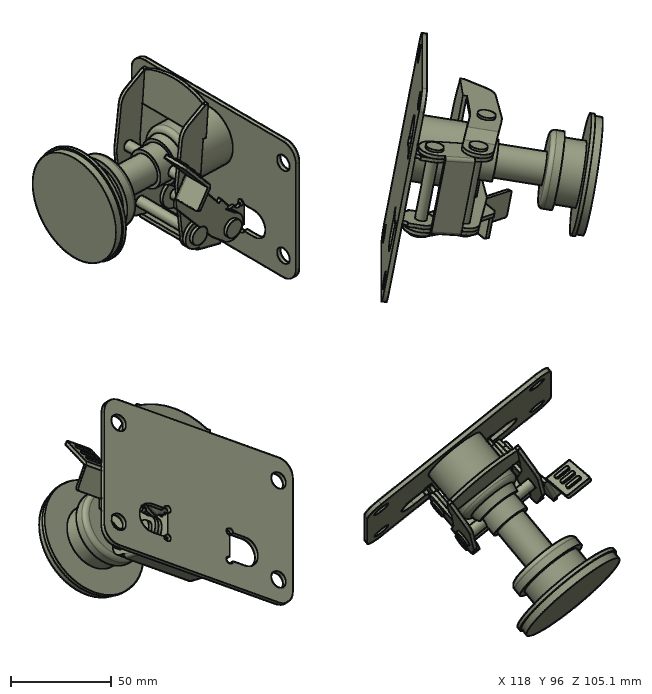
import cadquery as cq
import math


sheet = 2.0

plate_width = 118.0
plate_height = 82.0
plate_thickness = 2.5
plate_corner_radius = 9.0
plate_center_x = 3.0
plate_center_z = -19.0
mount_hole_diameter = 9.0
mount_hole_pitch_x = 100.0
mount_hole_pitch_z = 56.0

handle_pivot = (38.2, 0.0)
link_pivot = (34.6, -33.0)
base_pivot = (12.8, -38.0)

lug_radius = 8.0
lug_outer_spacing = 39.0
slot_length = 74.0
relief_radius = 2.0
lug_relief_forward = 4.4

link_radius = 8.0
link_web_start = 3.7
link_web_end = 19.1

handle_radius = 8.0
handle_left_jog = 2.7
jog_top_z = -16.0
jog_bottom_z = -26.0
handle_web_top = (24.6, 45.15)
handle_web_bottom = (26.4, 20.6)
handle_side_top_z = 40.4
handle_back_corner_forward = 28.5
handle_front_corner = (42.5, 31.3)
handle_corner_radius = 10.0

pin_radius = 3.0
round_head_radius = 4.6
round_head_height = 1.3
flat_head_radius = 5.15
flat_head_height = 2.0

housing_radius = 16.8
housing_end = 32.2
housing_fillet = 3.0
cone_base_radius = 13.4
cone_tip_radius = 12.5
cone_end = 37.3
collar_radius = 10.7
collar_end = 46.7
rod_radius = 8.6
rod_end = 71.5
bead_radius = 20.0
bead_fillet = 2.6
bead_end = 78.5
neck_radius = 17.0
flange_radius = 31.0
flange_start = 90.0
flange_end = 92.0
pad_radius = 30.0
foot_end = 96.0

lever_radius = 8.0
head_clearance = 0.1
pedal_width = 15.0
pedal_length = 25.0
pedal_angle = math.radians(49)
pedal_tip = (58.5, 28.0)
flange_angle = math.radians(57)
flange_length = 13.3
bend_radius = 1.8
pedal_corner_radius = 1.5
rib_length = 8.5
rib_width = 3.0
rib_height = 1.0
rib_corner_radius = 1.0
rib_first = 5.5
rib_pitch = 6.8
rib_count = 3

lug_left = plate_center_x - lug_outer_spacing / 2
lug_right = plate_center_x + lug_outer_spacing / 2
link_left = lug_left - sheet
link_right = lug_right + sheet
handle_low_left = link_left - sheet
handle_left = handle_low_left - handle_left_jog
handle_right = lug_right
lever_right = link_right + sheet


def yz(point):
    """Turn (forward, z) into coordinates of the YZ workplane."""
    return (-point[0], point[1])


def from_pivot(pivot, forward, up):
    return (pivot[0] + forward, pivot[1] + up)


def side_plane(x):
    return cq.Workplane("YZ", origin=(x, 0, 0))


def front_plane(forward):
    """XZ workplane whose extrusions run forward."""
    return cq.Workplane("XZ", origin=(0, -forward, 0))


def side_prism(points, x_start, x_end):
    outline = [yz(point) for point in points]
    return side_plane(x_start).polyline(outline).close().extrude(x_end - x_start)


def side_disc(center, radius, x_start, x_end):
    return side_plane(x_start).center(*yz(center)).circle(radius).extrude(x_end - x_start)


def pin_hole(center):
    return side_disc(center, pin_radius, handle_left, lever_right)


def turned(profile):
    """Revolve (radius, forward) points about the plunger axis."""
    outline = [(radius, -forward) for radius, forward in profile]
    return cq.Workplane("XY").polyline(outline).close().revolve(360, (0, 0, 0), (0, 1, 0))


def make_lug(x_start):
    x_end = x_start + sheet
    root_length = base_pivot[0]
    root = side_prism(
        [
            (0, base_pivot[1] - lug_radius),
            (root_length, base_pivot[1] - lug_radius),
            (root_length, base_pivot[1] + lug_radius),
            (0, base_pivot[1] + lug_radius),
        ],
        x_start,
        x_end,
    )
    lug = root.union(side_disc(base_pivot, lug_radius, x_start, x_end))
    for edge in (-lug_radius, lug_radius):
        notch_center = (lug_relief_forward, base_pivot[1] + edge)
        lug = lug.cut(side_disc(notch_center, relief_radius, x_start, x_end))
    return lug


def make_plate():
    plate = (
        front_plane(0)
        .center(plate_center_x, plate_center_z)
        .rect(plate_width, plate_height)
        .extrude(plate_thickness)
        .edges("|Y")
        .fillet(plate_corner_radius)
    )
    mount_holes = (
        front_plane(0)
        .center(plate_center_x, plate_center_z)
        .rect(mount_hole_pitch_x, mount_hole_pitch_z, forConstruction=True)
        .vertices()
        .circle(mount_hole_diameter / 2)
        .extrude(plate_thickness)
    )
    slot = (
        front_plane(0)
        .center(plate_center_x, base_pivot[1])
        .slot2D(slot_length, 2 * lug_radius)
        .extrude(plate_thickness)
    )
    bridge = (
        front_plane(0)
        .center(plate_center_x, base_pivot[1])
        .rect(lug_outer_spacing, 2 * lug_radius)
        .extrude(plate_thickness)
    )
    reliefs = (
        front_plane(0)
        .center(plate_center_x, base_pivot[1])
        .rect(lug_outer_spacing, 2 * lug_radius, forConstruction=True)
        .vertices()
        .circle(relief_radius)
        .extrude(plate_thickness)
    )
    plate = plate.cut(mount_holes).cut(slot.cut(bridge))
    for x_start in (lug_left, lug_right - sheet):
        plate = plate.union(make_lug(x_start))
    return plate.cut(reliefs).cut(pin_hole(base_pivot)).clean()


def make_housing():
    return (
        front_plane(plate_thickness)
        .circle(housing_radius)
        .extrude(housing_end - plate_thickness)
        .faces("<Y")
        .edges()
        .fillet(housing_fillet)
    )


def make_plunger():
    plunger = turned(
        [
            (0, housing_end),
            (cone_base_radius, housing_end),
            (cone_tip_radius, cone_end),
            (collar_radius, cone_end),
            (collar_radius, collar_end),
            (rod_radius, collar_end),
            (rod_radius, rod_end),
            (0, rod_end),
        ]
    )
    return plunger.cut(pin_hole(handle_pivot))


def make_foot():
    bead = (
        front_plane(rod_end)
        .circle(bead_radius)
        .extrude(bead_end - rod_end)
        .faces(">Y")
        .edges()
        .fillet(bead_fillet)
    )
    base = turned(
        [
            (0, bead_end),
            (neck_radius, bead_end),
            (neck_radius, flange_start),
            (flange_radius, flange_start),
            (flange_radius, flange_end),
            (pad_radius, flange_end),
            (pad_radius, foot_end),
            (0, foot_end),
        ]
    )
    return bead.union(base)


def make_link():
    rise = link_pivot[1] - base_pivot[1]
    reach = link_pivot[0] - base_pivot[0]
    length = math.hypot(reach, rise)
    tilt = math.degrees(math.atan2(rise, reach))
    width = link_right - link_left

    sides = (
        side_plane(link_left)
        .center(-length / 2, 0)
        .slot2D(length + 2 * link_radius, 2 * link_radius)
        .extrude(width)
    )
    inside = sides.intersect(
        cq.Workplane("XY").box(lug_outer_spacing, 200, 200).translate((plate_center_x, 0, 0))
    )
    web_bottom = -link_radius - sheet
    web = (
        side_plane(link_left)
        .moveTo(-link_web_start, -link_radius)
        .lineTo(-link_web_end, -link_radius)
        .lineTo(-link_web_end, web_bottom)
        .lineTo(-link_web_start, web_bottom)
        .close()
        .extrude(width)
        .edges("|Y and <Z")
        .fillet(0.9 * sheet)
    )
    link = (
        sides.cut(inside)
        .union(web)
        .rotate((0, 0, 0), (1, 0, 0), -tilt)
        .translate((0, -base_pivot[0], base_pivot[1]))
    )
    return link.cut(pin_hole(base_pivot)).cut(pin_hole(link_pivot))


def handle_side_profile(x_start, x_end):
    lean = math.atan2(handle_pivot[0] - link_pivot[0], handle_pivot[1] - link_pivot[1])
    across = handle_radius * math.cos(lean)
    drop = handle_radius * math.sin(lean)
    low_front = from_pivot(link_pivot, across, -drop)
    low_back = from_pivot(link_pivot, -across, drop)
    low_end = from_pivot(link_pivot, -drop, -across)
    elbow_front = from_pivot(handle_pivot, across, -drop)
    elbow_middle = from_pivot(handle_pivot, handle_radius, 0)
    elbow_end = from_pivot(handle_pivot, across, drop)
    elbow_back = from_pivot(handle_pivot, -handle_radius, 0)
    web_lean = (handle_web_bottom[0] - handle_web_top[0]) / (handle_web_top[1] - handle_web_bottom[1])
    side_top_back = handle_web_top[0] + web_lean * (handle_web_top[1] - handle_side_top_z)

    outline = (
        side_plane(x_start)
        .moveTo(*yz(low_front))
        .lineTo(*yz(elbow_front))
        .threePointArc(yz(elbow_middle), yz(elbow_end))
        .lineTo(*yz(handle_front_corner))
        .lineTo(*yz((side_top_back + sheet, handle_side_top_z)))
        .lineTo(*yz((side_top_back, handle_side_top_z)))
        .lineTo(*yz(handle_web_bottom))
        .lineTo(*yz((handle_back_corner_forward, handle_web_bottom[1])))
        .lineTo(*yz(elbow_back))
        .lineTo(*yz(low_back))
        .threePointArc(yz(low_end), yz(low_front))
        .close()
    )
    front_corner_edge = cq.selectors.NearestToPointSelector(
        ((x_start + x_end) / 2, -handle_front_corner[0], handle_front_corner[1])
    )
    return outline.extrude(x_end - x_start).edges(front_corner_edge).fillet(handle_corner_radius)


def make_handle():
    bottom_z = link_pivot[1] - handle_radius
    right_arm = handle_side_profile(handle_right - sheet, handle_right)
    left_outline = (
        front_plane(0)
        .polyline(
            [
                (handle_left, handle_side_top_z),
                (handle_left, jog_top_z),
                (handle_low_left, jog_bottom_z),
                (handle_low_left, bottom_z),
                (handle_low_left + sheet, bottom_z),
                (handle_low_left + sheet, jog_bottom_z),
                (handle_left + sheet, jog_top_z),
                (handle_left + sheet, handle_side_top_z),
            ]
        )
        .close()
        .extrude(foot_end)
    )
    left_arm = handle_side_profile(handle_left, link_left).intersect(left_outline)

    web_left = handle_left + sheet
    web_right = handle_right - sheet
    web_slab = side_prism(
        [
            handle_web_bottom,
            from_pivot(handle_web_bottom, sheet, 0),
            from_pivot(handle_web_top, sheet, 0),
            handle_web_top,
        ],
        web_left,
        web_right,
    )
    web_outline = (
        front_plane(0)
        .moveTo(web_left, handle_web_bottom[1])
        .lineTo(web_left, handle_side_top_z)
        .threePointArc(((web_left + web_right) / 2, handle_web_top[1]), (web_right, handle_side_top_z))
        .lineTo(web_right, handle_web_bottom[1])
        .close()
        .extrude(foot_end)
    )
    handle = left_arm.union(right_arm).union(web_slab.intersect(web_outline))
    return handle.cut(pin_hole(handle_pivot)).cut(pin_hole(link_pivot))


pedal_along = (math.cos(pedal_angle), math.sin(pedal_angle))
pedal_normal = (-math.sin(pedal_angle), math.cos(pedal_angle))
flange_along = (math.cos(flange_angle), -math.sin(flange_angle))
flange_normal = (math.sin(flange_angle), math.cos(flange_angle))
pedal_root = from_pivot(pedal_tip, -pedal_length * pedal_along[0], -pedal_length * pedal_along[1])
flange_top = from_pivot(pedal_root, -sheet * pedal_normal[0], -sheet * pedal_normal[1])
flange_bottom = from_pivot(flange_top, flange_length * flange_along[0], flange_length * flange_along[1])
pedal_right = lever_right + pedal_width


def make_lever_arm():
    arm = side_prism(
        [
            base_pivot,
            (10.6, -30.3),
            (16.3, -25.7),
            (14.7, -24.1),
            (19.8, -17.7),
            (21.4, -19.5),
            (23.1, -17.2),
            flange_top,
            flange_bottom,
            (50.8, -9.0),
            (25.7, -38.0),
            (18.0, -44.2),
        ],
        link_right,
        lever_right,
    )
    arm = arm.union(side_disc(base_pivot, lever_radius, link_right, lever_right))
    head_relief = side_disc(link_pivot, flat_head_radius + head_clearance, link_right, lever_right)
    return arm.cut(head_relief).cut(pin_hole(base_pivot))


def make_lever_flange():
    back_shift = (-sheet * flange_normal[0], -sheet * flange_normal[1])
    return (
        side_prism(
            [
                pedal_root,
                flange_top,
                flange_bottom,
                from_pivot(flange_bottom, *back_shift),
                from_pivot(flange_top, *back_shift),
            ],
            lever_right,
            pedal_right,
        )
        .edges(
            cq.selectors.NearestToPointSelector(
                (pedal_right, *yz(from_pivot(flange_bottom, back_shift[0] / 2, back_shift[1] / 2)))
            )
        )
        .fillet(pedal_corner_radius)
    )


def make_pedal():
    upper_face = cq.Workplane(
        cq.Plane(
            origin=((lever_right + pedal_right) / 2, *yz(pedal_tip)),
            xDir=(1, 0, 0),
            normal=(0, *yz(pedal_normal)),
        )
    )
    slab = upper_face.center(0, pedal_length / 2).rect(pedal_width, pedal_length).extrude(-sheet)
    rounded = (
        upper_face.center(0, pedal_length)
        .rect(pedal_width, 2 * pedal_length)
        .extrude(-sheet)
        .edges(cq.selectors.ParallelDirSelector(cq.Vector(0, *yz(pedal_normal))))
        .fillet(pedal_corner_radius)
    )
    pedal = slab.intersect(rounded)
    for index in range(rib_count):
        rib = (
            upper_face.center(0, rib_first + index * rib_pitch)
            .rect(rib_length, rib_width)
            .extrude(rib_height)
            .edges(cq.selectors.ParallelDirSelector(cq.Vector(0, *yz(pedal_normal))))
            .fillet(rib_corner_radius)
        )
        pedal = pedal.union(rib)
    return pedal


def make_lever():
    flange_middle = from_pivot(
        flange_top, flange_length / 2 * flange_along[0], flange_length / 2 * flange_along[1]
    )
    bend_edge = cq.selectors.NearestToPointSelector((link_right, *yz(flange_middle)))
    arm = make_lever_arm().edges(bend_edge).fillet(bend_radius)
    return arm.union(make_lever_flange()).union(make_pedal())


def make_pin(center, left_face, right_face):
    shaft = side_disc(center, pin_radius, left_face, right_face)
    left_head = side_disc(center, round_head_radius, left_face - round_head_height, left_face)
    right_head = side_disc(center, flat_head_radius, right_face, right_face + flat_head_height)
    return shaft.union(left_head).union(right_head)


plate = make_plate()
housing = make_housing()
plunger = make_plunger()
foot = make_foot()
link = make_link()
handle = make_handle()
lever = make_lever()
handle_pin = make_pin(handle_pivot, handle_left, handle_right)
link_pin = make_pin(link_pivot, handle_low_left, link_right)
base_pin = make_pin(base_pivot, link_left, lever_right)

result = cq.Compound.makeCompound(
    [
        plate.val(),
        housing.val(),
        plunger.val(),
        foot.val(),
        link.val(),
        handle.val(),
        lever.val(),
        handle_pin.val(),
        link_pin.val(),
        base_pin.val(),
    ]
)